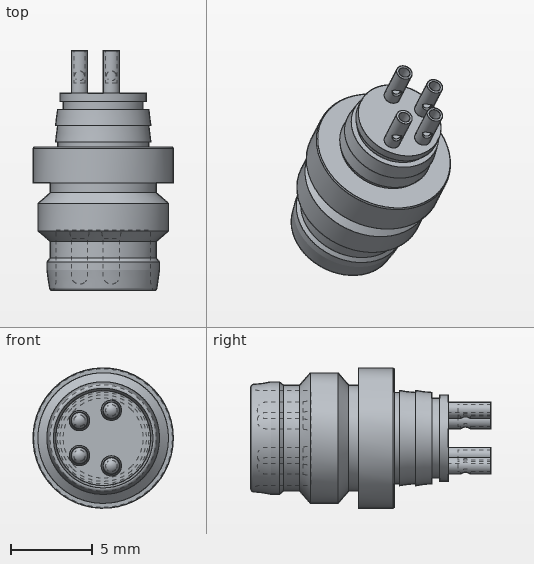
import cadquery as cq


FULL_TURN_ABOUT_Y = (360, (0, 0, 0), (0, 1, 0))

lip_dia = 6.6
sleeve_dia = 6.9
neck_dia = 6.5
lip_round = 0.2
taper_end = 1.25
sleeve_end = 1.75
sleeve_chamfer_end = 2.0

collar_dia = 8.0
collar_start = 3.0
collar_full_start = 3.65
collar_full_end = 5.35
collar_end = 6.0

flange_dia = 8.6
flange_start = 6.6
flange_end = 8.8
flange_chamfer_length = 0.1
flange_chamfer_height = 0.06

barb_dia = 5.85
barb_root_dia = 5.6
barb_tips = (9.1, 10.1)
barb_length = 1.0

insert_neck_dia = 4.9
insert_dia = 5.3
insert_disc_start = 11.57
insert_end = 12.1

mouth_dia = 6.1
bore_dia = 5.8
mouth_depth = 0.5
socket_depth = 3.7

contact_dia = 1.0
wide_pair_x = 0.5
wide_pair_z = 1.7
narrow_pair_x = -1.45
narrow_pair_z = 1.07
contact_tip = 0.4
contact_end = 14.7
base_dia = 1.24
base_tip_dia = 1.04
base_height = 0.5
cup_dia = 0.7
cup_depth = 2.0
vent_dia = 0.6
vent_position = 13.15


def make_shell():
    """Revolve the stepped outside of the body about the Y axis."""
    outline = (
        cq.Workplane("XY")
        .lineTo(lip_dia / 2 - lip_round, 0)
        .radiusArc((lip_dia / 2, lip_round), -lip_round)
        .lineTo(sleeve_dia / 2, taper_end)
        .lineTo(sleeve_dia / 2, sleeve_end)
        .lineTo(neck_dia / 2, sleeve_chamfer_end)
        .lineTo(neck_dia / 2, collar_start)
        .lineTo(collar_dia / 2, collar_full_start)
        .lineTo(collar_dia / 2, collar_full_end)
        .lineTo(neck_dia / 2, collar_end)
        .lineTo(neck_dia / 2, flange_start)
        .lineTo(flange_dia / 2, flange_start)
        .lineTo(flange_dia / 2, flange_end - flange_chamfer_length)
        .lineTo(flange_dia / 2 - flange_chamfer_height, flange_end)
        .lineTo(barb_root_dia / 2, flange_end)
        .lineTo(barb_root_dia / 2, barb_tips[0])
    )
    for tip in barb_tips:
        outline = outline.lineTo(barb_dia / 2, tip).lineTo(barb_root_dia / 2, tip + barb_length)
    outline = (
        outline.lineTo(insert_neck_dia / 2, barb_tips[-1] + barb_length)
        .lineTo(insert_neck_dia / 2, insert_disc_start)
        .lineTo(insert_dia / 2, insert_disc_start)
        .lineTo(insert_dia / 2, insert_end)
        .lineTo(0, insert_end)
        .close()
    )
    return outline.revolve(*FULL_TURN_ABOUT_Y)


def make_socket():
    """Blind bore with a flared mouth that receives the mating plug."""
    return (
        cq.Workplane("XY")
        .lineTo(mouth_dia / 2, 0)
        .lineTo(bore_dia / 2, mouth_depth)
        .lineTo(bore_dia / 2, socket_depth)
        .lineTo(0, socket_depth)
        .close()
        .revolve(*FULL_TURN_ABOUT_Y)
    )


def make_contact():
    """Round-nosed pin with a tapered base on the socket floor and a vented solder cup behind."""
    radius = contact_dia / 2
    pin = (
        cq.Workplane("XY")
        .moveTo(0, contact_tip)
        .radiusArc((radius, contact_tip + radius), -radius)
        .lineTo(radius, socket_depth - base_height)
        .lineTo(base_tip_dia / 2, socket_depth - base_height)
        .lineTo(base_dia / 2, socket_depth)
        .lineTo(radius, socket_depth)
        .lineTo(radius, contact_end)
        .lineTo(0, contact_end)
        .close()
        .revolve(*FULL_TURN_ABOUT_Y)
    )
    cup = cq.Workplane("XZ", origin=(0, contact_end, 0)).circle(cup_dia / 2).extrude(cup_depth)
    vent = cq.Workplane("XY", origin=(0, vent_position, 0)).circle(vent_dia / 2).extrude(-contact_dia)
    return pin.cut(cup).cut(vent)


result = make_shell().cut(make_socket())
contact = make_contact()
for x, z in ((wide_pair_x, wide_pair_z), (narrow_pair_x, narrow_pair_z)):
    for side in (1, -1):
        result = result.union(contact.translate((x, 0, side * z)))